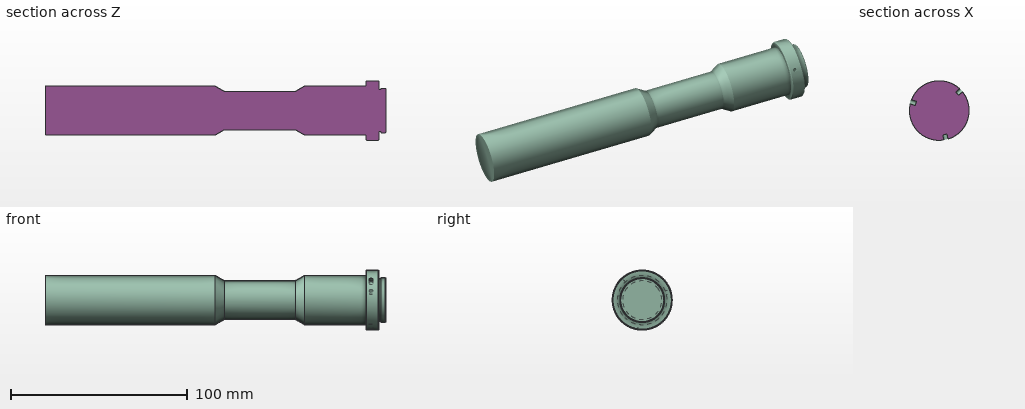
import cadquery as cq
import math

total_length = 192.7
body_diameter = 28.0
neck_diameter = 22.0
collar_diameter = 34.0
spigot_diameter = 25.4

front_barrel_length = 96.0
neck_length = 40.2
taper_angle = 30.0
taper_length = (body_diameter - neck_diameter) / 2 / math.tan(math.radians(taper_angle))
spigot_length = 4.0
collar_length = 7.5
collar_chamfer = 0.5

relief_width = 1.0
relief_depth = 0.6
spigot_chamfer = 0.5

screw_hole_diameter = 2.2
screw_hole_depth = 3.0
screw_hole_count = 3
screw_hole_offset = 3.0
first_screw_angle = 43.0

collar_end = total_length - spigot_length
collar_start = collar_end - collar_length


def make_turned_body():
    """Revolve the half profile of the solid body about the X axis."""
    body_radius = body_diameter / 2
    neck_radius = neck_diameter / 2
    collar_radius = collar_diameter / 2
    spigot_radius = spigot_diameter / 2
    relief_radius = spigot_radius - relief_depth
    neck_start = front_barrel_length + taper_length
    neck_end = neck_start + neck_length
    relief_end = collar_end + relief_width

    profile = [
        (0, 0),
        (0, body_radius),
        (front_barrel_length, body_radius),
        (neck_start, neck_radius),
        (neck_end, neck_radius),
        (neck_end + taper_length, body_radius),
        (collar_start, body_radius),
        (collar_start, collar_radius - collar_chamfer),
        (collar_start + collar_chamfer, collar_radius),
        (collar_end - collar_chamfer, collar_radius),
        (collar_end, collar_radius - collar_chamfer),
        (collar_end, relief_radius),
        (relief_end, relief_radius),
        (relief_end, spigot_radius),
        (total_length - spigot_chamfer, spigot_radius),
        (total_length, spigot_radius - spigot_chamfer),
        (total_length, 0),
    ]
    return cq.Workplane("XY").polyline(profile).close().revolve(360, (0, 0, 0), (1, 0, 0))


def make_screw_hole(angle):
    """Blind radial hole cutter, turned about X by the angle from -Y towards +Z."""
    hole_x = collar_start + screw_hole_offset
    hole_floor = collar_diameter / 2 - screw_hole_depth
    direction = cq.Vector(0, -math.cos(math.radians(angle)), math.sin(math.radians(angle)))
    floor_centre = cq.Vector(hole_x, 0, 0) + direction * hole_floor
    return cq.Solid.makeCylinder(screw_hole_diameter / 2, 2 * screw_hole_depth, floor_centre, direction)


result = make_turned_body()
for index in range(screw_hole_count):
    screw_angle = first_screw_angle + index * 360 / screw_hole_count
    result = result.cut(cq.Workplane(make_screw_hole(screw_angle)))